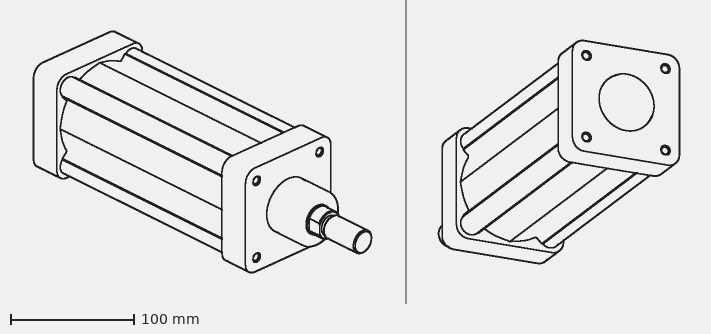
import cadquery as cq
import math


total_length = 341.0
pilot_length = 3.5
cap_length = 27.5
nose_length = 34.5
lip_length = 1.7
wrench_length = 12.3
neck_length = 3.0
thread_length = 36.8
rod_length = wrench_length + neck_length + thread_length

rear_cap_x = -total_length / 2 + pilot_length
barrel_x = rear_cap_x + cap_length
rod_x = total_length / 2 - rod_length
front_cap_x = rod_x - lip_length - nose_length - cap_length
barrel_length = front_cap_x - barrel_x

cap_width = 96.0
cap_corner_radius = 10.5
boss_radius = 24.2
boss_fillet = 1.7
lip_radius = 13.0
screw_spacing = 71.0
screw_hole_radius = 3.0
screw_hole_chamfer = 1.0

barrel_radius = 43.5
ridge_half_width = 9.0
tube_radius = 9.0
web_width = 19.0
web_reach = 51.0
web_chamfer = 1.5
web_fillet = 1.7

rod_radius = 12.3
wrench_flats = 21.8
rod_chamfer = 0.7
neck_radius = 9.0
thread_radius = 10.2
thread_chamfer = 1.0


def section_plane(x):
    """Sketch plane across the cylinder at x, with its normal along +X."""
    return cq.Workplane("YZ", origin=(x, 0, 0))


def make_cap_block(x, outer_face):
    """Square end cap with a through hole in each corner, countersunk on the outer face."""
    block = section_plane(x).rect(cap_width, cap_width).extrude(cap_length)
    block = block.edges("|X").fillet(cap_corner_radius)
    screws = section_plane(x).rect(screw_spacing, screw_spacing, forConstruction=True).vertices()
    block = block.cut(screws.circle(screw_hole_radius).extrude(cap_length))
    hole_rims = block.faces(outer_face).wires().edges(cq.selectors.RadiusNthSelector(0))
    return hole_rims.chamfer(screw_hole_chamfer)


def make_rear_cap():
    pilot = section_plane(-total_length / 2).circle(boss_radius).extrude(pilot_length)
    pilot = pilot.faces("<X").edges().fillet(boss_fillet)
    return make_cap_block(rear_cap_x, "<X").union(pilot)


def make_front_cap():
    nose_x = front_cap_x + cap_length
    nose = section_plane(nose_x).circle(boss_radius).extrude(nose_length)
    nose = nose.faces(">X").edges().fillet(boss_fillet)
    lip = section_plane(nose_x + nose_length).circle(lip_radius).extrude(lip_length)
    return make_cap_block(front_cap_x, ">X").union(nose).union(lip)


def make_ridge():
    """Shallow ridge on the +Y side, its two flats tangent to the round body."""
    tangent_angle = math.asin(ridge_half_width / barrel_radius)
    tangent_height = barrel_radius * math.cos(tangent_angle)
    ridge_height = barrel_radius / math.cos(tangent_angle)
    outline = [(0, 0), (tangent_height, -ridge_half_width), (ridge_height, 0), (tangent_height, ridge_half_width)]
    return section_plane(barrel_x).polyline(outline).close().extrude(barrel_length)


def make_web():
    """Web pointing along +Y, with chamfered outer shoulders."""
    web = section_plane(barrel_x).center(web_reach / 2, 0).rect(web_reach, web_width).extrude(barrel_length)
    return web.faces(">Y").edges("|X").chamfer(web_chamfer)


def make_tube():
    """Corner tube placed on the +Y side."""
    tube_distance = screw_spacing / math.sqrt(2)
    return section_plane(barrel_x).center(tube_distance, 0).circle(tube_radius).extrude(barrel_length)


def add_around_axis(body, feature, first_angle):
    """Join four copies of a feature to the body, a quarter turn apart about the X axis."""
    for quarter in range(4):
        body = body.union(feature.rotate((0, 0, 0), (1, 0, 0), first_angle + 90 * quarter))
    return body


def web_root_box():
    """Opposite corners of a box that holds the web roots but not the web shoulders."""
    root_distance = math.sqrt(barrel_radius**2 - (web_width / 2) ** 2)
    reach = (root_distance + web_width / 2) / math.sqrt(2) + web_fillet
    return (barrel_x, -reach, -reach), (front_cap_x, reach, reach)


def make_barrel():
    body = section_plane(barrel_x).circle(barrel_radius).extrude(barrel_length)
    body = add_around_axis(body, make_web(), 45)
    body = body.edges("|X").edges(cq.selectors.BoxSelector(*web_root_box())).fillet(web_fillet)
    body = add_around_axis(body, make_ridge(), 0)
    return add_around_axis(body, make_tube(), 45)


def make_piston_rod():
    wrench = section_plane(rod_x).circle(rod_radius).extrude(wrench_length)
    wrench = wrench.faces(">X").chamfer(rod_chamfer)
    flats = section_plane(rod_x).rect(wrench_flats, 2 * rod_radius).extrude(wrench_length)
    neck_x = rod_x + wrench_length
    neck = section_plane(neck_x).circle(neck_radius).extrude(neck_length)
    thread = section_plane(neck_x + neck_length).circle(thread_radius).extrude(thread_length)
    thread = thread.faces("<X or >X").chamfer(thread_chamfer)
    return wrench.intersect(flats).union(neck).union(thread)


rear_cap = make_rear_cap()
barrel = make_barrel()
front_cap = make_front_cap()
piston_rod = make_piston_rod()

result = cq.Compound.makeCompound([rear_cap.val(), barrel.val(), front_cap.val(), piston_rod.val()])